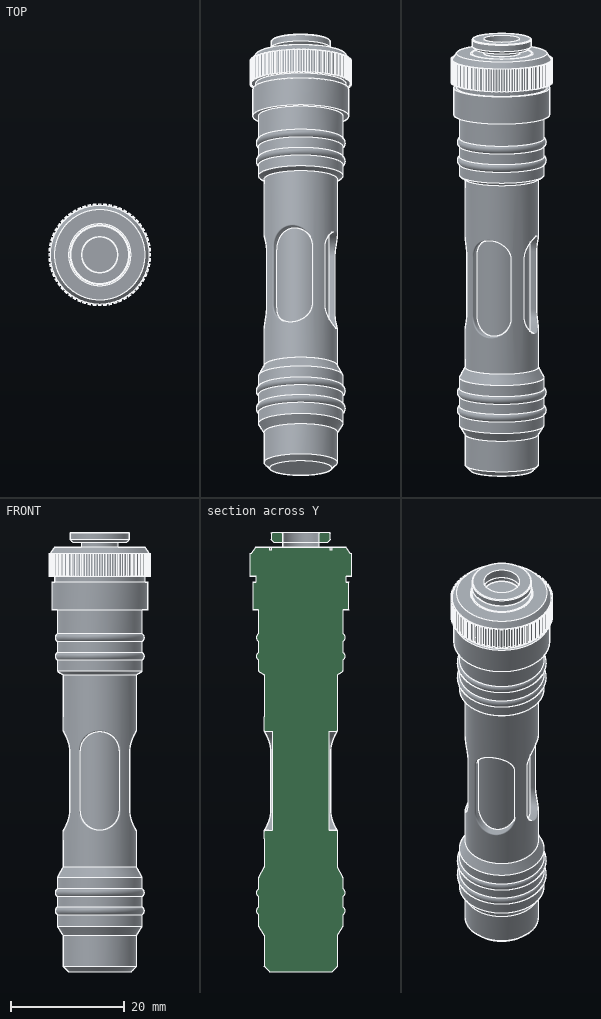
import cadquery as cq
import math


barrel_d = 13.0
sleeve_d = 15.0
collar_d = 17.0
knurl_d = 18.0
cap_face_d = 16.0
knurl_core_d = 17.5
stem_d = 6.5
button_d = 10.5

lower_flare_bottom = 6.5
lower_sleeve_bottom = 8.1
lower_sleeve_top = 16.75
lower_flare_top = 18.6
upper_flare_bottom = 52.55
upper_sleeve_bottom = 53.0
collar_bottom = 64.05
collar_top = 68.95
knurl_bottom = 69.95
knurl_top = 74.05
cap_top = 75.15
button_bottom = 75.95
total_height = 77.75

base_chamfer = 1.0
upper_sleeve_chamfer = 0.2
button_chamfer = 0.5
button_rim_chamfer = 0.15

ring_bulge = 0.37
ring_width = 1.4
lower_ring_heights = (10.85, 14.05)
upper_ring_heights = (55.85, 59.15)

slot_count = 4
slot_mid_z = 33.82
slot_length = 17.4
slot_width = 6.9
slot_floor_d = 10.0
slot_rim_fillet = 0.2
tolerance = 0.01

groove_count = 60
groove_width = 0.45

cap_groove_outer_d = 11.0
cap_groove_inner_d = 10.5
cap_groove_depth = 0.5

bore_d = 6.3


def add_rings(outline, ring_heights):
    """Continue a rising outline along a sleeve with one arc for each bulged ring."""
    sleeve_r = sleeve_d / 2
    for height in ring_heights:
        outline = outline.lineTo(sleeve_r, height - ring_width / 2).threePointArc(
            (sleeve_r + ring_bulge, height), (sleeve_r, height + ring_width / 2)
        )
    return outline


def turned_body():
    """Revolve the half outline of the whole part about Z."""
    outline = (
        cq.Workplane("XZ")
        .lineTo(barrel_d / 2 - base_chamfer, 0)
        .lineTo(barrel_d / 2, base_chamfer)
        .lineTo(barrel_d / 2, lower_flare_bottom)
        .lineTo(sleeve_d / 2, lower_sleeve_bottom)
    )
    outline = (
        add_rings(outline, lower_ring_heights)
        .lineTo(sleeve_d / 2, lower_sleeve_top)
        .lineTo(barrel_d / 2, lower_flare_top)
        .lineTo(barrel_d / 2, upper_flare_bottom)
        .lineTo(sleeve_d / 2 - upper_sleeve_chamfer, upper_sleeve_bottom)
        .lineTo(sleeve_d / 2, upper_sleeve_bottom + upper_sleeve_chamfer)
    )
    outline = (
        add_rings(outline, upper_ring_heights)
        .lineTo(sleeve_d / 2, collar_bottom)
        .lineTo(collar_d / 2, collar_bottom)
        .lineTo(collar_d / 2, collar_top)
        .lineTo(cap_face_d / 2, collar_top)
        .lineTo(cap_face_d / 2, knurl_bottom)
        .lineTo(knurl_d / 2, knurl_bottom)
        .lineTo(knurl_d / 2, knurl_top)
        .lineTo(knurl_core_d / 2, knurl_top)
        .lineTo(cap_face_d / 2, cap_top)
        .lineTo(stem_d / 2, cap_top)
        .lineTo(stem_d / 2, button_bottom)
        .lineTo(button_d / 2 - button_chamfer, button_bottom)
        .lineTo(button_d / 2, button_bottom + button_chamfer)
        .lineTo(button_d / 2, total_height - button_rim_chamfer)
        .lineTo(button_d / 2 - button_rim_chamfer, total_height)
        .lineTo(0, total_height)
        .close()
    )
    return outline.revolve(360, (0, 0), (0, 1))


def cut_slots(body):
    """Cut the slots, with parallel walls and a cylindrical floor, and round their outer rims."""
    core = cq.Workplane("XY").circle(slot_floor_d / 2).extrude(total_height)
    cutter = (
        cq.Workplane("XZ", origin=(0, 0, slot_mid_z))
        .slot2D(slot_length, slot_width, 90)
        .extrude(barrel_d)
        .cut(core)
    )
    for slot_index in range(slot_count):
        slot_angle = slot_index * 360 / slot_count
        body = body.cut(cutter.rotate((0, 0, 0), (0, 0, 1), slot_angle))

    def is_rim(edge):
        """True for an edge where a slot wall meets the outside of the barrel."""
        ends = (edge.startPoint(), edge.endPoint())
        on_surface = all(abs(math.hypot(end.x, end.y) - barrel_d / 2) < tolerance for end in ends)
        return on_surface and abs(edge.Center().z - slot_mid_z) < slot_length / 2

    rims = [edge for edge in body.edges().vals() if is_rim(edge)]
    return body.newObject(rims).fillet(slot_rim_fillet)


def knurl_grooves():
    """Straight grooves around the knurled band, with a land centred on each axis."""
    groove_depth = (knurl_d - knurl_core_d) / 2
    return (
        cq.Workplane("XY", origin=(0, 0, knurl_bottom))
        .polarArray(knurl_d / 2, 180 / groove_count, 360, groove_count)
        .rect(2 * groove_depth, groove_width)
        .extrude(knurl_top - knurl_bottom)
    )


def cap_groove():
    """Ring groove sunk into the cap face."""
    return (
        cq.Workplane("XY", origin=(0, 0, cap_top))
        .circle(cap_groove_outer_d / 2)
        .circle(cap_groove_inner_d / 2)
        .extrude(-cap_groove_depth)
    )


def button_bore():
    """Blind hole from the top of the button down to the level of the cap face."""
    return (
        cq.Workplane("XY", origin=(0, 0, cap_top))
        .circle(bore_d / 2)
        .extrude(total_height - cap_top)
    )


result = cut_slots(turned_body())
result = result.cut(knurl_grooves()).cut(cap_groove()).cut(button_bore())